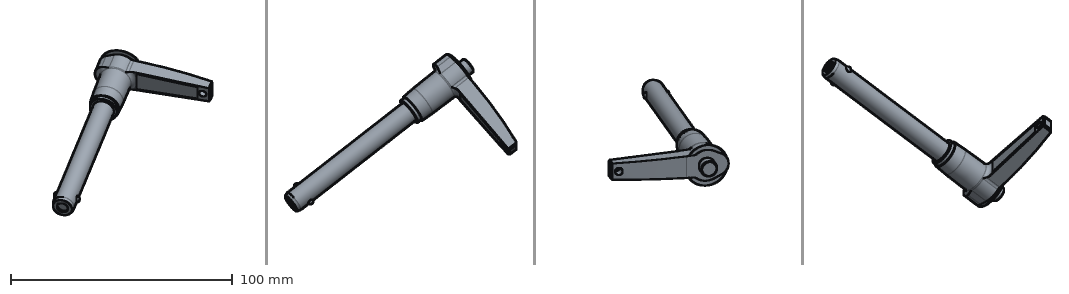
import cadquery as cq
import math


total_length = 103.8
button_length = 4.8
button_radius = 7.4 / 2
button_edge = 0.3

hub_radius = 7.5
hub_back_x = -10.3
hub_back_radius = 5.5
hub_depth = 7.7
neck_fillet = 2.1
washer_radius = 19.6 / 2
washer_thickness = 0.1
washer_trim_x = 7.9

arm_end_x = 43.8
arm_root_x = 3.1
arm_root_half_width = 5.5
arm_end_half_width = 3.9
arm_blend_radius = 2.3
arm_curve_start_x = 9.3
arm_curve_radius = 207.6
arm_tip_chamfer = 0.6
pad_start_x = 9.3
pad_end_x = 37.9
pad_margin = 0.6
pad_height = 0.2
ring_hole_x = 40.3
ring_hole_diameter = 3.3

sleeve_radius = 7.4
sleeve_middle_y = -22.3
sleeve_middle_radius = 7.2
sleeve_front_y = -28.1
sleeve_front_radius = 6.9
collar_radius = 12.7 / 2
collar_front_y = -30.1

shank_radius = 10.0 / 2
tip_chamfer_length = 1.7
tip_chamfer_depth = 0.5
spindle_radius = 5.2 / 2
spindle_recess = 0.9
ball_radius = 1.7
ball_center_x = 4.4
ball_from_tip = 7.4

tip_y = button_length - total_length
sleeve_rear_y = -hub_depth - neck_fillet
arm_slope = (arm_end_half_width - arm_root_half_width) / (arm_end_x - arm_root_x)


def prism_along_y(outline, y_from, y_to):
    """Extrude a closed XZ outline between two Y positions."""
    return outline.extrude(y_from - y_to).translate((0, y_from, 0))


def arm_half_width(x):
    return arm_root_half_width + arm_slope * (x - arm_root_x)


def make_hub():
    """Teardrop hub: a large and a small arc joined by tangent flats."""
    back_center_x = hub_back_x + hub_back_radius
    tangent_sin = (hub_radius - hub_back_radius) / -back_center_x
    tangent_cos = math.sqrt(1 - tangent_sin**2)
    front_tangent = (-hub_radius * tangent_sin, hub_radius * tangent_cos)
    back_tangent = (back_center_x - hub_back_radius * tangent_sin, hub_back_radius * tangent_cos)
    outline = (
        cq.Workplane("XZ")
        .moveTo(*front_tangent)
        .threePointArc((hub_radius, 0), (front_tangent[0], -front_tangent[1]))
        .lineTo(back_tangent[0], -back_tangent[1])
        .threePointArc((hub_back_x, 0), back_tangent)
        .close()
    )
    return prism_along_y(outline, 0, sleeve_rear_y)


def make_arm_blank():
    """Tapered arm, deep enough to be trimmed by the neck, with its rear edge curving to the tip."""
    outline = cq.Workplane("XZ").polyline([
        (0, arm_half_width(0)),
        (arm_end_x, arm_end_half_width),
        (arm_end_x, -arm_end_half_width),
        (0, -arm_half_width(0)),
    ]).close()
    arm = prism_along_y(outline, 0, sleeve_rear_y)

    def curve_y(x):
        return math.sqrt(arm_curve_radius**2 - (x - arm_curve_start_x)**2) - arm_curve_radius

    middle_x = (arm_curve_start_x + arm_end_x) / 2
    side = (
        cq.Workplane("XY")
        .moveTo(0, 0)
        .lineTo(arm_curve_start_x, 0)
        .threePointArc((middle_x, curve_y(middle_x)), (arm_end_x, curve_y(arm_end_x)))
        .lineTo(arm_end_x, -hub_depth)
        .lineTo(hub_radius + neck_fillet, -hub_depth)
        .lineTo(hub_radius, sleeve_rear_y)
        .lineTo(0, sleeve_rear_y)
        .close()
        .extrude(hub_radius, both=True)
    )
    return arm.intersect(side).faces(">X").edges().chamfer(arm_tip_chamfer)


def make_neck_envelope():
    """Revolved limit of the handle: a flat front face that sweeps concavely into the sleeve."""
    envelope_radius = 1.1 * arm_end_x
    outer_radius = sleeve_radius + neck_fillet
    arc_offset = neck_fillet * math.sqrt(0.5)
    return (
        cq.Workplane("XY")
        .moveTo(0, 0)
        .lineTo(envelope_radius, 0)
        .lineTo(envelope_radius, -hub_depth)
        .lineTo(outer_radius, -hub_depth)
        .threePointArc(
            (outer_radius - arc_offset, sleeve_rear_y + arc_offset),
            (sleeve_radius, sleeve_rear_y),
        )
        .lineTo(0, sleeve_rear_y)
        .close()
        .revolve(360, (0, 0, 0), (0, 1, 0))
    )


def make_arm_blends():
    """Concave fillers between the round hub and the two arm sides."""
    tilt = math.atan(arm_slope)
    normal_x = -math.sin(tilt)
    normal_z = math.cos(tilt)
    center_distance = hub_radius + arm_blend_radius
    side_distance = arm_half_width(0) * normal_z + arm_blend_radius
    along = math.sqrt(center_distance**2 - side_distance**2)
    center_x = side_distance * normal_x + along * normal_z
    center_z = side_distance * normal_z - along * normal_x
    hub_touch = (center_x * hub_radius / center_distance, center_z * hub_radius / center_distance)
    arm_touch = (center_x - arm_blend_radius * normal_x, center_z - arm_blend_radius * normal_z)
    between_x = (hub_touch[0] + arm_touch[0]) / 2 - center_x
    between_z = (hub_touch[1] + arm_touch[1]) / 2 - center_z
    reach = arm_blend_radius / math.hypot(between_x, between_z)
    arc_middle = (center_x + between_x * reach, center_z + between_z * reach)
    outline = (
        cq.Workplane("XZ")
        .moveTo(0, 0)
        .lineTo(*hub_touch)
        .threePointArc(arc_middle, arm_touch)
        .close()
    )
    blend = prism_along_y(outline, 0, sleeve_rear_y)
    return blend.union(blend.mirror("XY"))


def make_washer():
    """Thin plate on the rear face, trimmed straight on the arm side."""
    washer = prism_along_y(cq.Workplane("XZ").circle(washer_radius), 0, -washer_thickness)
    trim = cq.Workplane("XY").box(
        washer_radius, washer_radius, 3 * washer_radius, centered=(False, True, True)
    )
    return washer.cut(trim.translate((washer_trim_x, 0, 0)))


def make_pad():
    """Slightly raised grip pad on the front face of the arm."""
    start_half_width = arm_half_width(pad_start_x) - pad_margin
    end_half_width = arm_half_width(pad_end_x) - pad_margin
    outline = cq.Workplane("XZ").polyline([
        (pad_start_x, start_half_width),
        (pad_end_x, end_half_width),
        (pad_end_x, -end_half_width),
        (pad_start_x, -start_half_width),
    ]).close()
    return prism_along_y(outline, -hub_depth + pad_height, -hub_depth - pad_height)


def make_handle():
    body = make_hub().union(make_arm_blank()).union(make_arm_blends())
    body = body.intersect(make_neck_envelope())
    ring_hole = prism_along_y(
        cq.Workplane("XZ").center(ring_hole_x, 0).circle(ring_hole_diameter / 2), 0, sleeve_rear_y
    )
    return body.union(make_washer()).union(make_pad()).cut(ring_hole)


def make_pin():
    """Turned parts on the pin axis: button, sleeve, collar and shank."""
    pin = (
        cq.Workplane("XY")
        .moveTo(0, button_length)
        .lineTo(button_radius - button_edge, button_length)
        .lineTo(button_radius, button_length - button_edge)
        .lineTo(button_radius, sleeve_rear_y)
        .lineTo(sleeve_radius, sleeve_rear_y)
        .lineTo(sleeve_middle_radius, sleeve_middle_y)
        .lineTo(sleeve_front_radius, sleeve_front_y)
        .lineTo(collar_radius, sleeve_front_y)
        .lineTo(collar_radius, collar_front_y)
        .lineTo(shank_radius, collar_front_y)
        .lineTo(shank_radius, tip_y + tip_chamfer_length)
        .lineTo(shank_radius - tip_chamfer_depth, tip_y)
        .lineTo(spindle_radius, tip_y)
        .lineTo(spindle_radius, tip_y + spindle_recess)
        .lineTo(0, tip_y + spindle_recess)
        .close()
        .revolve(360, (0, 0, 0), (0, 1, 0))
    )
    for side in (-1, 1):
        ball = cq.Workplane("XY").sphere(ball_radius)
        pin = pin.union(ball.translate((side * ball_center_x, tip_y + ball_from_tip, 0)))
    return pin


result = make_handle().union(make_pin())